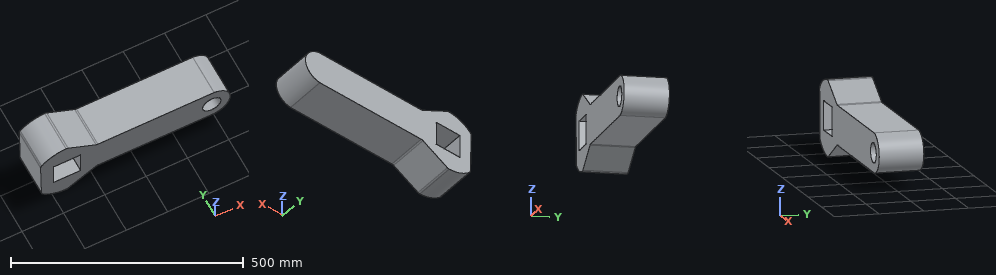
import cadquery as cq
import math

thickness = 100.0
head_radius = 85.0
socket_side = 64.5
corner_radius = 9.0

flat_top_x = -64.3
flat_bottom_x = -62.0

neck_x = 72.0
arm_top_z = 45.0
arm_bottom_neck_z = -42.5
arm_bottom_end_z = -43.5
end_x = 355.3
tip_x = 394.7
tip_z = (arm_top_z + arm_bottom_end_z) / 2

hole_x = 349.8
hole_diameter = 44.0
hole_depth = thickness / 2


def point_on_head(x, side):
    """Point on the head circle at x; side is +1 above and -1 below."""
    return (x, side * math.sqrt(head_radius**2 - x**2))


def make_body():
    arc_middle_x = flat_top_x / 2
    outline = (
        cq.Workplane("XZ", origin=(0, thickness / 2, 0))
        .moveTo(*point_on_head(flat_top_x, 1))
        .threePointArc(point_on_head(arc_middle_x, 1), (0, head_radius))
        .lineTo(neck_x, arm_top_z)
        .lineTo(end_x, arm_top_z)
        .threePointArc((tip_x, tip_z), (end_x, arm_bottom_end_z))
        .lineTo(neck_x, arm_bottom_neck_z)
        .lineTo(0, -head_radius)
        .threePointArc(point_on_head(arc_middle_x, -1), point_on_head(flat_bottom_x, -1))
        .close()
    )
    body = outline.extrude(thickness)
    head_edges = body.edges("|Y").filter(lambda edge: edge.Center().x < neck_x + corner_radius)
    return head_edges.fillet(corner_radius)


def make_socket():
    return cq.Workplane("XY").box(socket_side, thickness, socket_side)


def make_hole():
    start = cq.Workplane("XZ", origin=(hole_x, -thickness / 2, 0))
    return start.circle(hole_diameter / 2).extrude(-hole_depth)


result = make_body().cut(make_socket()).cut(make_hole())